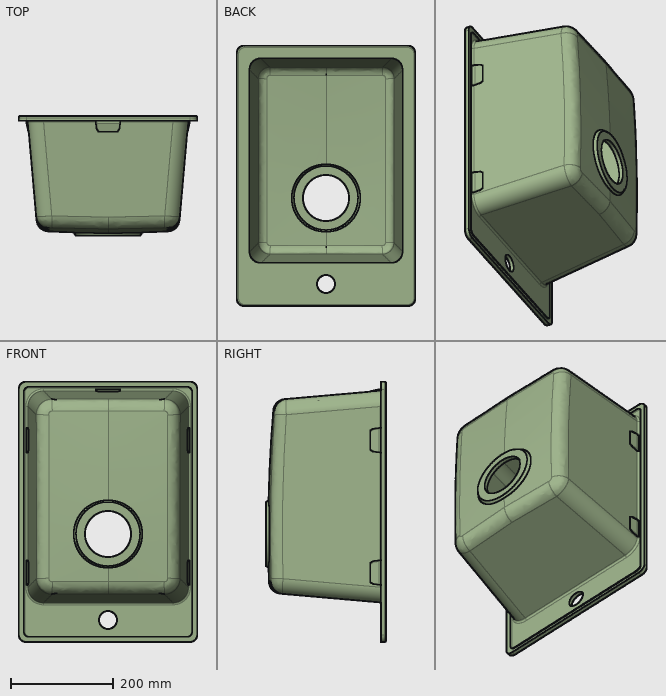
import cadquery as cq

rim_width = 350.0
rim_height = 510.0
rim_depth = 10.0
rim_corner_radius = 15.0
rim_top_round = 3.5
lip_width = 10.0
wall = 8.0
recess_corner_radius = 10.0
recess_round = 1.5

bowl_side_gap = 17.0
bowl_tap_side_gap = 76.5
bowl_draft = 5.0
bowl_corner_radius = 30.5
bowl_floor_radius = 25.5
bowl_rim_round = 4.0
bowl_width = rim_width - 2 * bowl_side_gap
bowl_height = rim_height - bowl_side_gap - bowl_tap_side_gap
bowl_center_z = (bowl_tap_side_gap - bowl_side_gap) / 2

crease_depth = 231.0
crease_curve_radius = 2907.0
side_floor_depth = 224.5
side_curve_radius = 4080.0

drain_z = -43.5
drain_radius = 45.0
drain_face_radius = 62.5
drain_base_radius = 71.0
drain_face_depth = 235.0

tap_z = -211.5
tap_radius = 17.5

tab_width = 50.0
tab_tip_width = 37.5
tab_end_depth = 31.0
tab_corner_height = 5.5
tab_side_lean = 2.5
tab_flat_depth = 15.0
tab_gap = 15.5
tab_tip_gap = 19.0
tab_inner_gap = 22.5
tab_edge_round = 1.5
upper_tab_z = 140.0
lower_tab_z = -119.0


def plate(width, height, start_depth, thickness, corner_radius):
    """Rounded rectangular plate centred on the rim."""
    return (
        cq.Workplane("XZ", origin=(0, -start_depth, 0))
        .rect(width, height)
        .extrude(thickness)
        .edges("|Y")
        .fillet(corner_radius)
    )


def floor_section(x, lowest_depth, curve_radius):
    """Closed wire in the plane at x, bounded below by the arched floor line."""
    half = rim_height / 2

    def depth_at(z):
        return lowest_depth - curve_radius + (curve_radius**2 - (z - drain_z) ** 2) ** 0.5

    return (
        cq.Workplane("YZ", origin=(x, 0, 0))
        .moveTo(0, -half)
        .lineTo(-depth_at(-half), -half)
        .threePointArc((-depth_at(drain_z), drain_z), (-depth_at(half), half))
        .lineTo(0, half)
        .close()
        .val()
    )


def bowl_body(inset):
    """Solid bowl with drafted walls, shrunk inward by inset on every side and on the floor."""
    walls = (
        cq.Workplane("XZ", origin=(0, 0, bowl_center_z))
        .rect(bowl_width - 2 * inset, bowl_height - 2 * inset)
        .extrude(drain_face_depth, taper=bowl_draft)
        .edges("not (|X or |Z)")
        .fillet(bowl_corner_radius - inset)
    )
    half_sections = [
        floor_section(-rim_width / 2, side_floor_depth - inset, side_curve_radius),
        floor_section(0, crease_depth - inset, crease_curve_radius),
    ]
    half_bowl = walls.intersect(cq.Workplane(cq.Solid.makeLoft(half_sections, True)))

    floor_zone = cq.selectors.BoxSelector(
        (-rim_width, -drain_face_depth, -rim_height), (-5, -drain_face_depth * 0.8, rim_height)
    )
    half_bowl = half_bowl.edges(floor_zone).fillet(bowl_floor_radius - inset)
    return half_bowl.union(half_bowl.mirror("YZ"))


def drain_pad():
    """Flat drain seat with a sloping flank that runs up into the floor."""
    base_depth = crease_depth - wall
    rise = drain_face_depth - base_depth
    return cq.Workplane(
        cq.Solid.makeCone(
            drain_base_radius, drain_face_radius, rise,
            pnt=cq.Vector(0, -base_depth, drain_z), dir=cq.Vector(0, -1, 0),
        )
    )


def hole(z, radius):
    return cq.Workplane("XZ", origin=(0, 0, z)).circle(radius).extrude(drain_face_depth)


def tab():
    """Wedge tab on the top wall, centred at X = 0."""
    top = rim_height / 2
    start = wall / 2
    wedge = (
        cq.Workplane("YZ")
        .polyline([
            (-start, top - tab_inner_gap),
            (-start, top - tab_gap),
            (-tab_flat_depth, top - tab_gap),
            (-tab_end_depth, top - tab_tip_gap),
            (-tab_end_depth, top - tab_inner_gap),
        ])
        .close()
        .extrude(tab_width / 2, both=True)
    )
    half = tab_width / 2
    shoulder_depth = tab_end_depth - tab_corner_height
    outline = (
        cq.Workplane("XY", origin=(0, 0, top - 2 * tab_inner_gap))
        .polyline([
            (-half, -start),
            (half, -start),
            (half - tab_side_lean, -shoulder_depth),
            (tab_tip_width / 2, -tab_end_depth),
            (-tab_tip_width / 2, -tab_end_depth),
            (tab_side_lean - half, -shoulder_depth),
        ])
        .close()
        .extrude(2 * tab_inner_gap)
    )
    outer_rim = cq.selectors.BoxSelector(
        (-half, -tab_end_depth * 1.1, top - tab_tip_gap - 0.5), (half, -wall, top)
    )
    return wedge.intersect(outline).edges(outer_rim).edges("not |X").fillet(tab_edge_round)


def side_tab(side, z):
    """The same tab turned onto the -X wall (side = -1) or the +X wall (side = 1)."""
    shift = side * (rim_width - rim_height) / 2
    return tab().rotate((0, 0, 0), (0, 1, 0), side * 90).translate((shift, 0, z))


rim = plate(rim_width, rim_height, 0, rim_depth, rim_corner_radius)
rim = rim.faces(">Y").edges().fillet(rim_top_round)
recess = plate(
    rim_width - 2 * lip_width, rim_height - 2 * lip_width, wall, rim_depth, recess_corner_radius
)
recess = recess.faces(">Y").edges().fillet(recess_round)
rim = rim.cut(recess)

result = rim.union(bowl_body(0))

bowl_mouth = cq.selectors.BoxSelector(
    (-bowl_width / 2, -wall * 1.1, bowl_center_z - bowl_height / 2),
    (bowl_width / 2, -wall * 0.9, bowl_center_z + bowl_height / 2),
)
result = result.edges(bowl_mouth).fillet(bowl_rim_round)

result = result.union(drain_pad())
result = result.union(tab())
for side in (-1, 1):
    for z in (upper_tab_z, lower_tab_z):
        result = result.union(side_tab(side, z))
result = result.cut(bowl_body(wall))
result = result.cut(drain_pad().translate((0, wall, 0)))
result = result.cut(hole(drain_z, drain_radius))
result = result.cut(hole(tap_z, tap_radius))